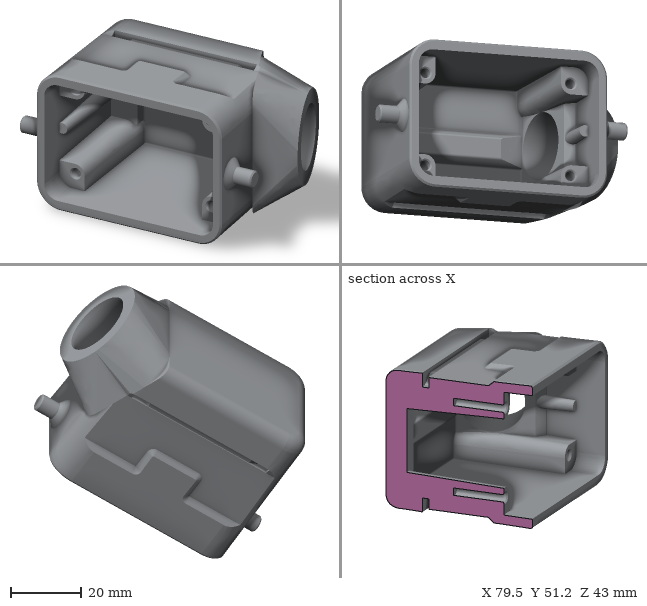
import cadquery as cq
import math

length = 60.0
width = 43.0
height = 46.1
corner_radius = 7.8
draft = 1.0
roof_fillet = 3.8
rim_chamfer = 0.55

cavity_length = 54.7
cavity_width = 36.9
cavity_depth = 43.3
cavity_corner_radius = 4.4
cavity_draft = 0.7
floor_fillet = 0.5
entry_wall_inside = [(26.6, 18.3), (24.1, 20.35), (19.5, cavity_depth)]

slant_top_x = 19.0
slant_foot_x = 29.7
slant_foot_y = 19.4

exit_x = 38.1
exit_y = 37.6
exit_radius = 14.15
exit_tilt = 15.7
bore_radius = 9.8
bore_depth = 20.65
root_half_width = 20.8
root_top_corner = 3.6
root_foot_corner = 8.75
side_flat_half_angle = 1.5
end_flat_half_angle = 9.0
step_end_y = 36.55

panel_z = 19.8
panel_bottom = 13.9
panel_top = 32.6
bevel_width = 1.7
bevel_depth = 1.35
top_bevel_width = 2.4
groove_width = 1.9
groove_half_length = 23.05
groove_floor_z = 19.4
groove_end_z = 16.7
groove_ramp_start_x = 17.3
groove_ramp_end_x = 21.4
bevel_cut_height = 3.2
tab_half_width = 7.5
tab_top = 20.3
tab_corner_radius = 2.1

pin_y = 6.3
pin_tip_x = 37.545
pin_radius = 2.55
pin_tip_chamfer = 0.4
pin_collar_radius = 4.9
pin_root_x = 28.6
pin_collar_x = 29.8
pin_collar_end_x = 31.8

post_tip_y = 8.9
post_tip_x = 19.1
post_tip_z = 10.3
post_inner_radius = 3.2
post_draft = 1.6
hole_x = 22.0
hole_z = 13.4
hole_radius = 1.4
hole_depth = 15.9
hole_chamfer = 0.4
rib_x = 26.4
rib_tip_radius = 1.7
rib_root_radius = 2.9

shelf_height = 4.0
shelf_edge_x = -18.35
ridge_height = 3.2
ridge_top_half_width = 3.0
ridge_root_half_width = 5.0
ridge_slope_start_x = 12.15
ridge_end_x = 20.65
ridge_fillet = 0.8


def facing_roof(y):
    """Workplane at height y whose extrusions run towards the roof."""
    return cq.Workplane(cq.Plane(origin=(0, y, 0), xDir=(1, 0, 0), normal=(0, 1, 0)))


def rounded_block(x_size, z_size, y_size, radius, taper):
    outline = cq.Sketch().rect(x_size, z_size).vertices().fillet(radius)
    return facing_roof(0).placeSketch(outline).extrude(y_size, taper=taper)


def prism_z(points, half_width):
    """Polygon in the XY plane, extruded equally to both sides of Z = 0."""
    return cq.Workplane("XY").polyline(points).close().extrude(half_width, both=True)


def make_shell():
    shell = rounded_block(length, width, height, corner_radius, draft)
    shell = shell.faces(">Y").edges().fillet(roof_fillet)
    shell = shell.faces("<Y").edges().chamfer(rim_chamfer)
    beyond_slant = [
        (slant_foot_x, slant_foot_y),
        (slant_top_x, height),
        (length, height),
        (length, slant_foot_y),
    ]
    return shell.cut(prism_z(beyond_slant, width))


exit_direction = cq.Vector(math.cos(math.radians(exit_tilt)), math.sin(math.radians(exit_tilt)), 0)
exit_plane = cq.Plane(origin=(exit_x, exit_y, 0), xDir=(0, 0, 1), normal=exit_direction)
slant_rise = height - slant_foot_y
slant_run = slant_foot_x - slant_top_x
slant_length = math.hypot(slant_rise, slant_run)
root_plane = cq.Plane(
    origin=((slant_foot_x + slant_top_x) / 2, (slant_foot_y + height) / 2, 0),
    xDir=(0, 0, 1),
    normal=(slant_rise, slant_run, 0),
)


def exit_wire():
    """Circle split into short arcs facing the root's sides and long arcs facing its corners."""
    def rim(angle):
        return (exit_radius * math.cos(math.radians(angle)), exit_radius * math.sin(math.radians(angle)))

    wire = cq.Workplane(exit_plane).moveTo(*rim(-side_flat_half_angle))
    for side in (0, 180):
        wire = wire.threePointArc(rim(side), rim(side + side_flat_half_angle))
        wire = wire.threePointArc(rim(side + 45), rim(side + 90 - end_flat_half_angle))
        wire = wire.threePointArc(rim(side + 90), rim(side + 90 + end_flat_half_angle))
        wire = wire.threePointArc(rim(side + 135), rim(side + 180 - side_flat_half_angle))
    return wire.wire().val()


def root_wire(half_width):
    """Rectangle with rounded corners on the slanted end, started on its +Z side like the circle."""
    half_length = slant_length / 2
    wire = cq.Workplane(root_plane).moveTo(half_width, root_foot_corner - half_length)
    corners = [
        (1, 1, root_top_corner),
        (-1, 1, root_top_corner),
        (-1, -1, root_foot_corner),
        (1, -1, root_foot_corner),
    ]
    for side, end, radius in corners:
        inset = radius * (1 - math.sqrt(0.5))
        on_side = (side * half_width, end * (half_length - radius))
        on_end = (side * (half_width - radius), end * half_length)
        middle = (side * (half_width - inset), end * (half_length - inset))
        start, finish = (on_side, on_end) if side == end else (on_end, on_side)
        wire = wire.lineTo(*start).threePointArc(middle, finish)
    return wire.wire().val()


def entry_loft(half_width):
    return cq.Workplane(cq.Solid.makeLoft([root_wire(half_width), exit_wire()], True))


def panel_step(side):
    """Region above the step that carries the panel's top bevel along one flat of the entry."""
    slant_x = slant_foot_x - (panel_top - slant_foot_y) * slant_run / slant_rise
    step_run = cq.Vector(exit_x - slant_x, step_end_y - panel_top, side * (exit_radius - panel_z))
    profile = [
        (panel_top, panel_z / 2),
        (panel_top, panel_z),
        (panel_top + top_bevel_width, panel_z + bevel_depth),
        (panel_top + top_bevel_width, width),
        (2 * height, width),
        (2 * height, panel_z / 2),
    ]
    corners = [cq.Vector(slant_x, y, side * z) - step_run for y, z in profile]
    return cq.Solid.extrudeLinear(cq.Wire.makePolygon(corners, close=True), [], step_run * 3)


def make_entry():
    """Neck flush with the panels, widened to the shell's full width above the panels."""
    entry = entry_loft(panel_z)
    for side in (1, -1):
        entry = entry.union(entry_loft(root_half_width).intersect(cq.Workplane(panel_step(side))))
    return entry


def panel_cutter(side):
    """Panel outline around the raised tab, opening outwards along its bevels."""
    outline = [
        (-length, panel_bottom),
        (-tab_half_width - bevel_width, panel_bottom),
        (-tab_half_width - bevel_width, tab_top + bevel_width),
        (tab_half_width + bevel_width, tab_top + bevel_width),
        (tab_half_width + bevel_width, panel_bottom),
        (length, panel_bottom),
        (length, panel_top),
        (-length, panel_top),
    ]
    bevel_angle = math.degrees(math.atan2(bevel_width, bevel_depth))
    sketch = cq.Sketch().polygon(outline + outline[:1])
    tab_corners = cq.selectors.BoxSelector((-length / 2, panel_bottom + 0.8, -0.8), (length / 2, panel_top - 0.8, 0.8))
    sketch = sketch.vertices(tab_corners).fillet(tab_corner_radius)
    cutter = cq.Workplane("XY").placeSketch(sketch).extrude(bevel_cut_height, taper=-bevel_angle)
    cutter = cutter.translate((0, 0, panel_z))
    top_bevel = [
        (panel_top, panel_z),
        (panel_top + top_bevel_width, panel_z + bevel_depth),
        (panel_top, panel_z + bevel_depth),
    ]
    cutter = cutter.union(cq.Workplane("YZ").polyline(top_bevel).close().extrude(length, both=True))
    return cutter if side > 0 else cutter.mirror("XY")


def groove_cutter(side):
    """Narrow groove along the panel's top edge, ramping deeper at both ends beside the posts."""
    right_half = [
        (groove_ramp_start_x, groove_floor_z),
        (groove_ramp_end_x, groove_end_z),
        (groove_half_length, groove_end_z),
        (groove_half_length, width / 2),
    ]
    left_half = [(-x, z) for x, z in reversed(right_half)]
    cutter = cq.Workplane("XZ").polyline(left_half + right_half).close().extrude(-groove_width)
    cutter = cutter.translate((0, panel_top, 0))
    return cutter if side > 0 else cutter.mirror("XY")


def make_pin(side):
    """Pin with a conical collar on the end wall, turned about the X axis."""
    profile = [
        (pin_root_x, 0),
        (pin_root_x, pin_collar_radius),
        (pin_collar_x, pin_collar_radius),
        (pin_collar_end_x, pin_radius),
        (pin_tip_x - pin_tip_chamfer, pin_radius),
        (pin_tip_x, pin_radius - pin_tip_chamfer),
        (pin_tip_x, 0),
    ]
    pin = cq.Workplane("XY").polyline(profile).close().revolve(360, (0, 0, 0), (1, 0, 0))
    pin = pin.translate((0, pin_y, 0))
    return pin if side > 0 else pin.mirror("YZ")


def make_post(x_side, z_side):
    """Screw post growing towards the roof, its outer faces buried in the shell walls."""
    outline = cq.Sketch().rect(length - 2 * post_tip_x, width - 2 * post_tip_z).vertices().fillet(post_inner_radius)
    post = facing_roof(post_tip_y).placeSketch(outline).extrude(cavity_depth - post_tip_y, taper=-post_draft)
    return post.translate((x_side * length / 2, 0, z_side * width / 2))


def make_screw_hole(x_side, z_side):
    hole = facing_roof(post_tip_y).circle(hole_radius).extrude(hole_depth)
    mouth = facing_roof(post_tip_y).circle(hole_radius + hole_chamfer).workplane(offset=hole_chamfer)
    mouth = mouth.circle(hole_radius).loft()
    return hole.union(mouth).translate((x_side * hole_x, 0, z_side * hole_z))


def make_rib(x_side):
    rib = facing_roof(post_tip_y).circle(rib_tip_radius).workplane(offset=cavity_depth - post_tip_y)
    return rib.circle(rib_root_radius).loft().translate((x_side * rib_x, 0, 0))


def make_shelf():
    outline = [
        (-length / 2, cavity_depth),
        (-length / 2, cavity_depth - shelf_height),
        (shelf_edge_x, cavity_depth - shelf_height),
        (shelf_edge_x, cavity_depth),
    ]
    return prism_z(outline, post_tip_z)


def make_ridge():
    """Tapered bar along the cavity roof that slopes down to the roof beside the bore."""
    section = [
        (cavity_depth, ridge_root_half_width),
        (cavity_depth - ridge_height, ridge_top_half_width),
        (cavity_depth - ridge_height, -ridge_top_half_width),
        (cavity_depth, -ridge_root_half_width),
    ]
    ridge = cq.Workplane("YZ", origin=(shelf_edge_x, 0, 0)).polyline(section).close()
    ridge = ridge.extrude(ridge_end_x - shelf_edge_x)
    above_slope = [
        (ridge_slope_start_x, cavity_depth - ridge_height),
        (ridge_end_x, cavity_depth),
        (ridge_end_x, cavity_depth - ridge_height),
    ]
    ridge = ridge.cut(prism_z(above_slope, width))
    return ridge.faces("<Y").edges("|X").fillet(ridge_fillet)


def make_cavity():
    """Hollow of the hood, leaving the posts, shelf, ridge and ribs standing."""
    cavity = rounded_block(cavity_length, cavity_width, cavity_depth, cavity_corner_radius, cavity_draft)
    inside_entry_wall = [(-length, 0), (length, 0), (length, entry_wall_inside[0][1])]
    inside_entry_wall += entry_wall_inside + [(-length, cavity_depth)]
    cavity = cavity.intersect(prism_z(inside_entry_wall, width))
    for x_side in (1, -1):
        for z_side in (1, -1):
            cavity = cavity.cut(make_post(x_side, z_side))
    cavity = cavity.cut(make_shelf()).cut(make_ridge())
    cavity = cavity.faces(">Y").edges().fillet(floor_fillet)
    for x_side in (1, -1):
        cavity = cavity.cut(make_rib(x_side))
    return cavity


result = make_shell().union(make_entry())
for side in (1, -1):
    result = result.cut(panel_cutter(side)).cut(groove_cutter(side)).union(make_pin(side))
result = result.cut(make_cavity())
for x_side in (1, -1):
    for z_side in (1, -1):
        result = result.cut(make_screw_hole(x_side, z_side))
bore = cq.Workplane(exit_plane).circle(bore_radius).extrude(-bore_depth)
result = result.cut(bore)